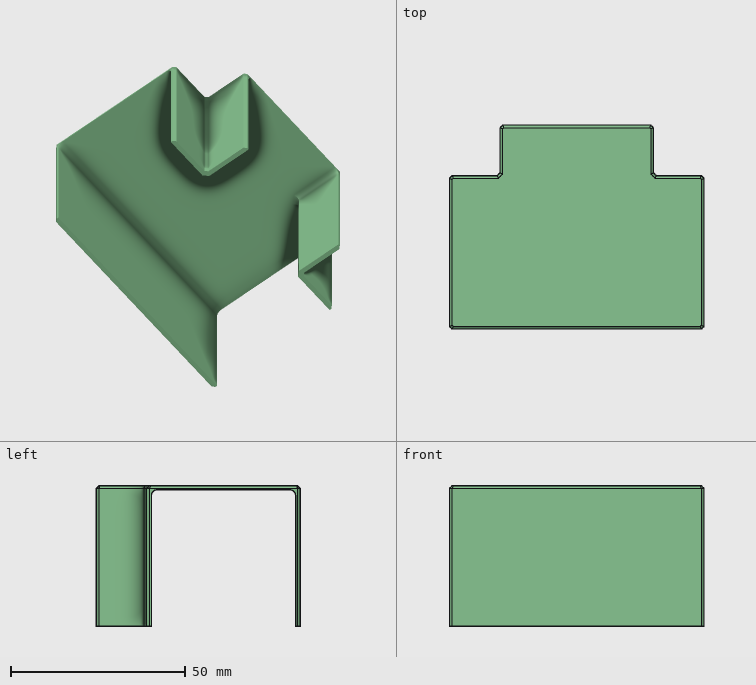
import cadquery as cq

overall_length = 73.16
overall_depth = 58.64
height = 40.4
side_wall = 1.4
top_wall = 1.2
outer_chamfer = 0.8
inner_corner_chamfer = 1.4
inner_radius = 1.6

arm_projection = overall_length - overall_depth
arm_width = overall_length - 2 * arm_projection
arm_reach = overall_length / 2

channel_width = arm_width - 2 * side_wall
channel_height = height - top_wall
channel_reach = arm_reach + 2 * inner_radius


def make_tee(width, reach, tee_height):
    """Upright tee prism with arms of one width reaching the same distance from the origin."""
    half_width = width / 2
    outline = [
        (-reach, -half_width),
        (reach, -half_width),
        (reach, half_width),
        (half_width, half_width),
        (half_width, reach),
        (-half_width, reach),
        (-half_width, half_width),
        (-reach, half_width),
    ]
    return cq.Workplane("XY").polyline(outline).close().extrude(tee_height)


def make_body():
    """Outer tee with every upright corner and the whole top rim chamfered."""
    body = make_tee(arm_width, arm_reach, height)
    body = body.edges("|Z").chamfer(outer_chamfer)
    return body.faces(">Z").edges().chamfer(outer_chamfer)


def make_cavity():
    """Inner tee with chamfered re-entrant corners and rounded upper edges."""
    cavity = make_tee(channel_width, channel_reach, channel_height)
    half_width = channel_width / 2
    for side in (-1, 1):
        corner = (side * half_width, half_width, channel_height / 2)
        edge = cq.selectors.NearestToPointSelector(corner)
        cavity = cavity.edges("|Z").edges(edge).chamfer(inner_corner_chamfer)
    return cavity.faces(">Z").edges().fillet(inner_radius)


result = make_body().cut(make_cavity())